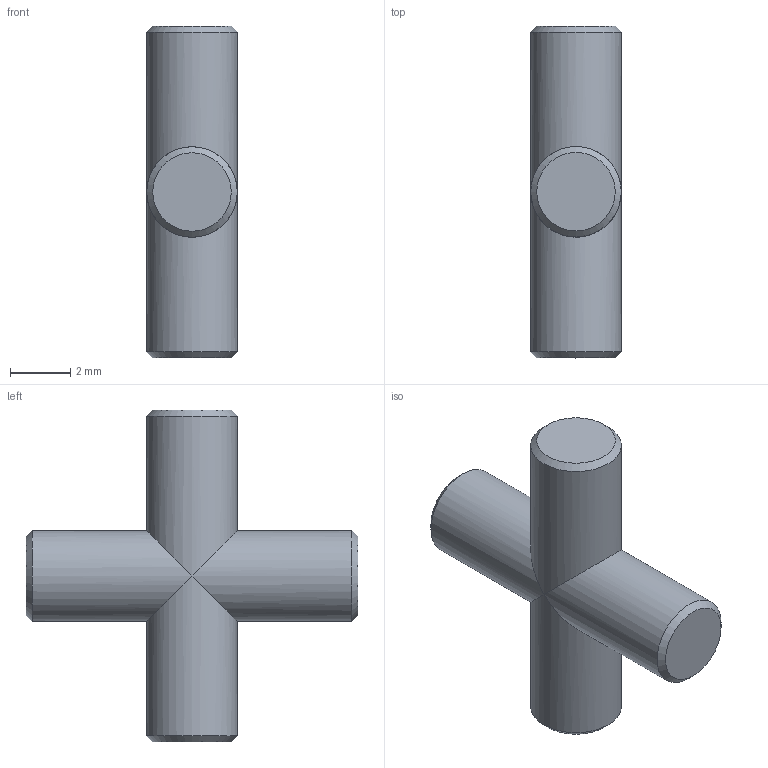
import cadquery as cq

PIN_DIAMETER = 3.0
PIN_LENGTH = 11.0
END_CHAMFER = 0.2


def chamfered_pin():
    """Round pin along Z, centred on the origin, with both end rims chamfered."""
    pin = cq.Workplane("XY").circle(PIN_DIAMETER / 2).extrude(PIN_LENGTH / 2, both=True)
    return pin.faces("|Z").edges().chamfer(END_CHAMFER)


vertical_pin = chamfered_pin()
horizontal_pin = chamfered_pin().rotate((0, 0, 0), (1, 0, 0), 90)

result = vertical_pin.union(horizontal_pin)